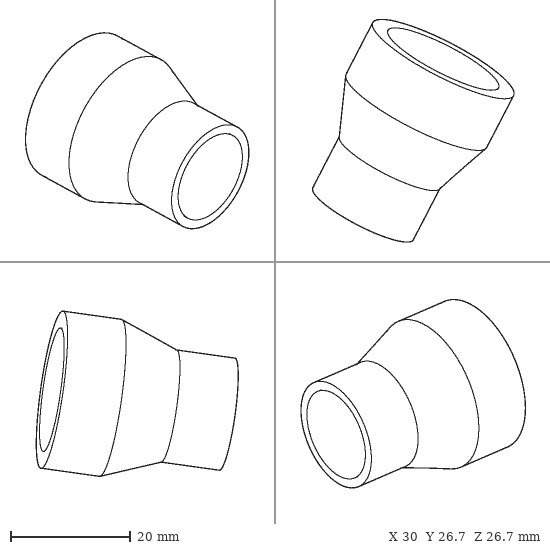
import cadquery as cq

length = 30.0
section_length = length / 3
large_outer_diameter = 26.67
large_bore_diameter = 20.95
small_outer_diameter = 19.05
small_bore_diameter = 15.8


def stepped_body(large_diameter, small_diameter):
    """Solid of revolution about X: cylinder, cone and smaller cylinder of equal length."""
    large_radius = large_diameter / 2
    small_radius = small_diameter / 2
    return (
        cq.Workplane("XY")
        .moveTo(0, 0)
        .lineTo(0, large_radius)
        .lineTo(section_length, large_radius)
        .lineTo(2 * section_length, small_radius)
        .lineTo(length, small_radius)
        .lineTo(length, 0)
        .close()
        .revolve(360, (0, 0, 0), (1, 0, 0))
    )


outer_body = stepped_body(large_outer_diameter, small_outer_diameter)
bore = stepped_body(large_bore_diameter, small_bore_diameter)

result = outer_body.cut(bore)